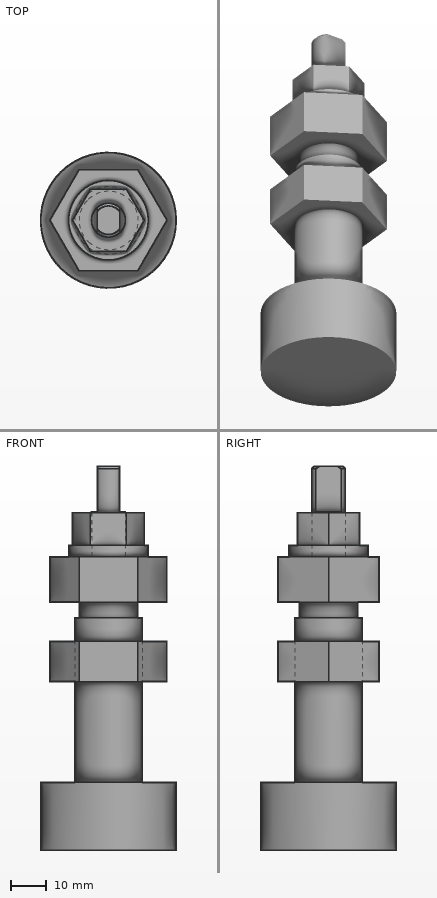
import cadquery as cq
import math

base_top = 19.1
lock_nut_bottom = 47.4
lock_nut_top = 58.7
shaft_top = 65.3
shoulder_bottom = 69.7
shoulder_top = 82.5
flange_top = 85.7
flange_nut_top = 94.9
flats_bottom = 95.1
rod_top = 108.0

base_diameter = 38.1
shaft_diameter = base_diameter / 2
neck_diameter = 16.5
flange_diameter = 22.3
rod_diameter = shaft_diameter / 2

shoulder_width = 28.5
flange_nut_width = 17.5
rod_width = 6.3

rod_chamfer = 0.8


def cylinder(diameter, bottom, top):
    """Upright cylinder on the Z axis."""
    return cq.Workplane("XY").workplane(offset=bottom).circle(diameter / 2).extrude(top - bottom)


def hexagon(width, bottom, top):
    """Upright hexagonal prism with two corners on the X axis."""
    corner_diameter = width / math.cos(math.radians(30))
    return cq.Workplane("XY").workplane(offset=bottom).polygon(6, corner_diameter).extrude(top - bottom)


def make_rod():
    """Chamfered round rod on the shoulder, with two flats facing -X and +X above the flange nut."""
    rod = cylinder(rod_diameter, shoulder_top, rod_top).faces(">Z").chamfer(rod_chamfer)
    flatted_length = cylinder(rod_diameter, flats_bottom, rod_top)
    between_flats = cq.Workplane("XY").box(rod_width, rod_diameter, 2 * rod_top)
    return rod.cut(flatted_length.cut(between_flats))


def make_spindle():
    """Wide base, shaft, undercut neck, hexagonal shoulder and flatted rod in one piece."""
    return (
        cylinder(base_diameter, 0, base_top)
        .union(cylinder(shaft_diameter, base_top, shaft_top))
        .union(cylinder(neck_diameter, shaft_top, shoulder_bottom))
        .union(hexagon(shoulder_width, shoulder_bottom, shoulder_top))
        .union(make_rod())
    )


def make_lock_nut():
    """Plain hexagonal nut around the shaft, as wide as the shoulder."""
    nut = hexagon(shoulder_width, lock_nut_bottom, lock_nut_top)
    return nut.cut(cylinder(shaft_diameter, lock_nut_bottom, lock_nut_top))


def make_flange_nut():
    """Hexagonal nut with a round flange, seated on the shoulder around the rod."""
    flange = cylinder(flange_diameter, shoulder_top, flange_top)
    nut = flange.union(hexagon(flange_nut_width, flange_top, flange_nut_top))
    return nut.cut(cylinder(rod_diameter, shoulder_top, flange_nut_top))


spindle = make_spindle()
lock_nut = make_lock_nut()
flange_nut = make_flange_nut()

result = cq.Compound.makeCompound([spindle.val(), lock_nut.val(), flange_nut.val()])